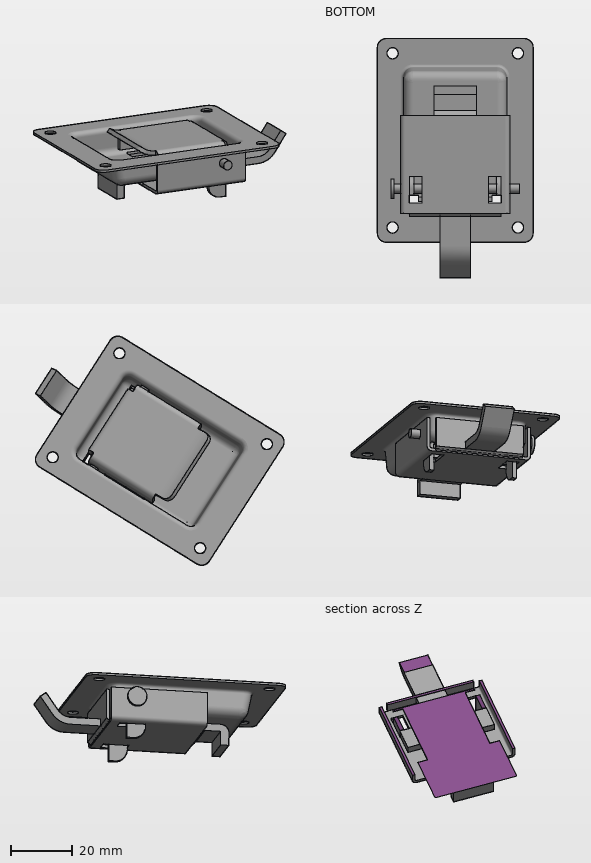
import cadquery as cq
import math


dish_t = 0.74
flange_width = 51.0
flange_length = 66.6
overall_length = 78.2
flange_corner_r = 3.0
mount_hole_d = 3.6
mount_hole_x = 20.5
mount_hole_y = 28.5
pocket_half_width = 16.1
pocket_rear_y = 23.1
pocket_front_y = -23.4
pocket_depth = 9.0
pocket_front_slope = 12
pocket_r = 2.35
rim_r = 1.7
dish_bottom = -(pocket_depth + dish_t)
dish_half_width = pocket_half_width + dish_t
dish_rear_y = pocket_rear_y + dish_t

bracket_t = 1.0
bracket_bend_r = 1.5
bracket_bottom = -13.6
bracket_top = -2.4
bracket_front_y = -8.2
bracket_rear_wall_half_width = 15.0
bracket_front_lip_half_width = 6.95
bracket_half_width = dish_half_width + bracket_t
bracket_rear_y = dish_rear_y + bracket_t
bracket_base_top = bracket_bottom + bracket_t

handle_t = 1.5
handle_top = 0.0
handle_half_width = 15.0
handle_bend_r = 2.0
handle_rear_y = 18.0
handle_front_y = -6.6
handle_wall_bottom = -7.0
handle_plate_half_width = handle_half_width - handle_bend_r
rear_flange_half_width = 12.05
lip_r = 7.75
lip_angle = 38.9
lip_corner_r = 2.5
leg_length = 6.2
leg_bottom = -18.3
leg_corner_r = 4.0
leg_front_y = handle_rear_y - leg_length

leg_slot_inner_x = 10.9
leg_slot_rear_y = 20.4
dish_slot_front_y = -3.3
bracket_slot_front_y = leg_front_y

pin_d = 3.05
pin_y = 15.8
pin_z = -5.9
pin_half_length = 21.0
pin_head_d = 6.3
pin_head_t = 1.0

tongue_width = 10.0
tongue_top = dish_bottom
tongue_bottom = bracket_bottom + bracket_bend_r
tongue_t = tongue_top - tongue_bottom
tail_bend_y = 34.8
tail_bend_r = 5.0
tail_angle = 55
tail_tip_y = overall_length - flange_length / 2
crossbar_rear_y = leg_front_y
crossbar_length = 7.8
crossbar_half_width = handle_half_width
tab_width = 13.9
tab_t = 2.7
tab_front_y = -17.75
tab_bottom = -16.7


def box(x0, x1, y0, y1, z0, z1):
    """Box between two opposite corners."""
    return cq.Workplane("XY").box(x1 - x0, y1 - y0, z1 - z0, centered=False).translate((x0, y0, z0))


def side_profile(half_width):
    """Sketch plane with local axes Y and Z; extruding by twice half_width centres the shape on X."""
    return cq.Workplane("YZ", origin=(-half_width, 0, 0))


def x_cylinder(diameter, x0, x1):
    """Cylinder along X on the axis of the pin."""
    return cq.Workplane("YZ", origin=(x0, pin_y, pin_z)).circle(diameter / 2).extrude(x1 - x0)


def u_channel(half_width, top, bottom, y0, y1, thickness, outer_r):
    """Channel open at the top, with rounded bends, running from y0 to y1."""
    outer = box(-half_width, half_width, y0, y1, bottom, top).edges("|Y and <Z").fillet(outer_r)
    inner_half = half_width - thickness
    inner = box(-inner_half, inner_half, y0, y1, bottom + thickness, top)
    return outer.cut(inner.edges("|Y and <Z").fillet(outer_r - thickness))


def pocket_block(wall):
    """Pocket shape, grown outwards by the given wall."""
    slope = math.radians(pocket_front_slope)
    half_width = pocket_half_width + wall
    rear_y = pocket_rear_y + wall
    front_y = pocket_front_y - wall / math.cos(slope)
    depth = pocket_depth + wall
    block = (
        side_profile(half_width)
        .polyline([(rear_y, 0), (front_y, 0), (front_y + depth * math.tan(slope), -depth), (rear_y, -depth)])
        .close()
        .extrude(2 * half_width)
    )
    block = block.edges("not(#Z)").edges("not(|X)").fillet(pocket_r + wall)
    return block.faces("<Z").edges().fillet(pocket_r + wall)


def leg_slots(front_y, z0, z1):
    """Cutters for the two slots that the handle legs pass through."""
    slot = box(leg_slot_inner_x, handle_half_width, front_y, leg_slot_rear_y, z0, z1)
    return slot.union(slot.mirror("YZ"))


def thin_slab(z):
    """Selector for edges around the pocket mouth at height z."""
    margin = 0.4
    half_height = 0.1
    x = pocket_half_width + rim_r + margin
    y = rim_r + margin - pocket_front_y
    return cq.selectors.BoxSelector((-x, -y, z - half_height), (x, y, z + half_height))


def make_dish():
    """Flange and pocket, before the slots and pin holes."""
    flange = box(-flange_width / 2, flange_width / 2, -flange_length / 2, flange_length / 2, -dish_t, 0)
    dish = flange.edges("|Z").fillet(flange_corner_r).union(pocket_block(dish_t))
    dish = dish.edges(thin_slab(-dish_t)).fillet(rim_r - dish_t)
    dish = dish.cut(pocket_block(0))
    dish = dish.edges(thin_slab(0)).fillet(rim_r)
    mount_holes = (
        cq.Workplane("XY")
        .rect(2 * mount_hole_x, 2 * mount_hole_y, forConstruction=True)
        .vertices()
        .circle(mount_hole_d / 2)
        .extrude(-dish_t)
    )
    return dish.cut(mount_holes)


def make_bracket():
    """Channel under the dish with a rear wall that the tongue passes and a sloping lip at the front."""
    channel = u_channel(
        bracket_half_width, bracket_top, bracket_bottom,
        bracket_front_y, dish_rear_y, bracket_t, bracket_bend_r,
    )

    rear_half = bracket_rear_wall_half_width
    rear_y0 = dish_rear_y - bracket_bend_r
    rear = box(-rear_half, rear_half, rear_y0, bracket_rear_y, bracket_bottom, bracket_top)
    rear = rear.edges("|X and >Y and <Z").chamfer(bracket_bend_r)
    rear = rear.cut(box(-rear_half, rear_half, rear_y0, dish_rear_y, bracket_base_top, bracket_top))
    tongue_opening = box(
        -tongue_width / 2, tongue_width / 2, rear_y0, bracket_rear_y, tongue_bottom, tongue_top
    )

    lip_half = bracket_front_lip_half_width
    lip = (
        side_profile(lip_half)
        .moveTo(bracket_front_y, bracket_bottom)
        .line(-bracket_bend_r, bracket_bend_r)
        .hLine(bracket_bend_r)
        .close()
        .extrude(2 * lip_half)
    )
    return channel.union(rear.cut(tongue_opening)).union(lip)


def make_housing():
    """Dish and bracket joined as one body, with the leg slots and the pin bore."""
    housing = make_dish().union(make_bracket())
    housing = housing.cut(leg_slots(dish_slot_front_y, dish_bottom, pocket_r - pocket_depth))
    housing = housing.cut(leg_slots(bracket_slot_front_y, bracket_bottom, bracket_base_top))
    return housing.cut(x_cylinder(pin_d, -bracket_half_width, bracket_half_width))


def handle_lip():
    """Finger lip curving up and forwards from the front of the paddle plate."""
    angle = math.radians(lip_angle)
    centre_z = handle_top + lip_r

    def arc_point(radius, a):
        return handle_front_y - radius * math.sin(a), centre_z - radius * math.cos(a)

    under_r = lip_r + handle_t
    lip = (
        side_profile(handle_plate_half_width)
        .moveTo(*arc_point(lip_r, 0))
        .threePointArc(arc_point(lip_r, angle / 2), arc_point(lip_r, angle))
        .lineTo(*arc_point(under_r, angle))
        .threePointArc(arc_point(under_r, angle / 2), arc_point(under_r, 0))
        .close()
        .extrude(2 * handle_plate_half_width)
    )
    return lip.faces("<Y").edges("not(|X)").fillet(lip_corner_r)


def handle_leg(x0):
    """Leg reaching down from the side wall whose lower x is x0."""
    leg = box(x0, x0 + handle_t, leg_front_y, handle_rear_y, leg_bottom, handle_wall_bottom)
    return leg.edges("|X and <Y and <Z").fillet(leg_corner_r)


def make_handle():
    """Paddle: inverted channel with rear flange, lip and two legs."""
    wall_height = handle_top - handle_wall_bottom
    paddle = u_channel(
        handle_half_width, wall_height, 0, handle_front_y, handle_rear_y, handle_t, handle_bend_r
    )
    paddle = paddle.rotate((0, 0, 0), (0, 1, 0), 180).translate((0, 0, handle_top))

    half = rear_flange_half_width
    flange_y0 = handle_rear_y - handle_t
    flange_y1 = handle_rear_y + handle_bend_r
    flange = box(-half, half, flange_y0, flange_y1, handle_wall_bottom, handle_top)
    flange = flange.edges("|X and >Y and >Z").fillet(handle_bend_r)
    flange_inside = box(
        -half, half, flange_y0, flange_y1 - handle_t, handle_wall_bottom, handle_top - handle_t
    )
    flange = flange.cut(flange_inside.edges("|X and >Y and >Z").fillet(handle_bend_r - handle_t))

    handle = paddle.union(flange).union(handle_lip())
    for x0 in (-handle_half_width, handle_half_width - handle_t):
        handle = handle.union(handle_leg(x0))
    return handle.cut(x_cylinder(pin_d, -handle_half_width, handle_half_width))


def make_pin():
    """Hinge pin with a flat head at -X."""
    head = x_cylinder(pin_head_d, -pin_half_length, pin_head_t - pin_half_length)
    return x_cylinder(pin_d, -pin_half_length, pin_half_length).union(head)


def tongue_tail():
    """Narrow strip to the rear, bent up at its end."""
    angle = math.radians(tail_angle)
    centre_z = tongue_top + tail_bend_r
    outer_r = tail_bend_r + tongue_t

    def arc_point(radius, a):
        return tail_bend_y + radius * math.sin(a), centre_z - radius * math.cos(a)

    straight = (tail_tip_y - arc_point(outer_r, angle)[0]) / math.cos(angle)

    def end_point(radius):
        y, z = arc_point(radius, angle)
        return y + straight * math.cos(angle), z + straight * math.sin(angle)

    return (
        side_profile(tongue_width / 2)
        .moveTo(crossbar_rear_y, tongue_bottom)
        .lineTo(*arc_point(outer_r, 0))
        .threePointArc(arc_point(outer_r, angle / 2), arc_point(outer_r, angle))
        .lineTo(*end_point(outer_r))
        .lineTo(*end_point(tail_bend_r))
        .lineTo(*arc_point(tail_bend_r, angle))
        .threePointArc(arc_point(tail_bend_r, angle / 2), arc_point(tail_bend_r, 0))
        .lineTo(crossbar_rear_y, tongue_top)
        .close()
        .extrude(tongue_width)
    )


def make_tongue():
    """Latch tongue: tail, crossbar pushed by the handle legs, and a tab bent down at the front."""
    crossbar_front_y = crossbar_rear_y - crossbar_length
    crossbar = box(
        -crossbar_half_width, crossbar_half_width,
        crossbar_front_y, crossbar_rear_y, tongue_bottom, tongue_top,
    )
    half = tab_width / 2
    front = box(-half, half, tab_front_y, crossbar_front_y, tab_bottom, tongue_top)
    front = front.edges("|X and <Y and >Z").fillet(tab_t)
    front = front.cut(box(-half, half, tab_front_y + tab_t, crossbar_front_y, tab_bottom, tongue_bottom))
    return tongue_tail().union(crossbar).union(front)


housing = make_housing()
handle = make_handle()
pin = make_pin()
tongue = make_tongue()
result = cq.Compound.makeCompound([body.solids().val() for body in (housing, handle, pin, tongue)])